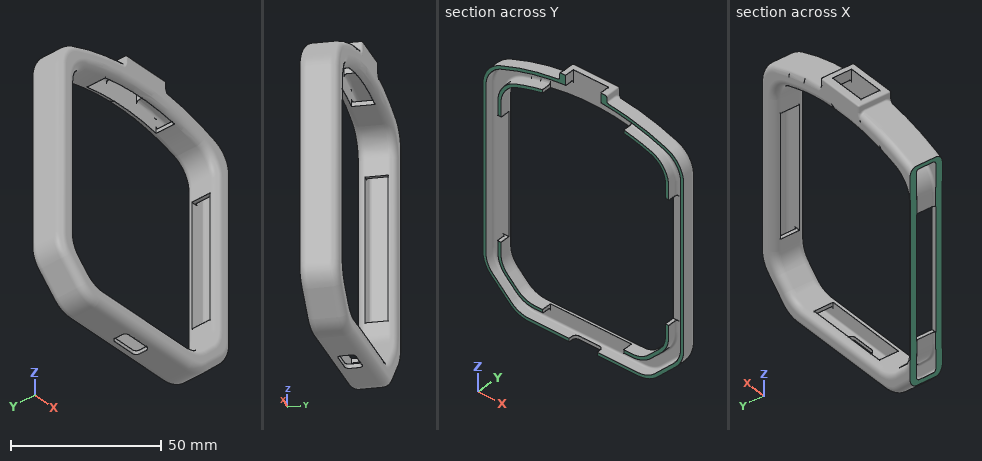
import cadquery as cq
import math

width = 87.2
depth = 14.0
height = 110.2

bar = 8.0
arch_height = 107.8
arch_radius = 95.9
corner_cut = 15.0
outer_corner_radius = 12.0
inner_corner_radius = 10.0
edge_round = 3.0

wall = 1.5
duct_width = depth - 2 * edge_round
duct_round = 1.0
end_mouth_length = 35.0
side_mouth_length = 52.0
side_mouth_bottom = 27.4

tab_width = 20.6
tab_round = 0.8
tab_foot_round = 0.8
socket_width = 15.2

port_width = 12.0
port_depth = duct_width - 2 * duct_round
port_corner_radius = 3.2 / 2


def block(x_size, y_size, z_bottom, z_top):
    """Box centred on X and Y between two heights."""
    return cq.Workplane("XY").workplane(offset=z_bottom).rect(x_size, y_size).extrude(z_top - z_bottom)


def plate(inset, thickness):
    """Ring outline moved inwards by inset, as a plate centred on Y."""
    half = width / 2 - inset
    radius = arch_radius - inset
    arch_top = arch_height - inset
    shoulder = arch_top - radius + math.sqrt(radius**2 - half**2)
    cut = corner_cut - inset * (2 - math.sqrt(2))
    return (
        cq.Workplane("XZ")
        .moveTo(half, shoulder)
        .threePointArc((0, arch_top), (-half, shoulder))
        .lineTo(-half, inset + cut)
        .lineTo(-half + cut, inset)
        .lineTo(half - cut, inset)
        .lineTo(half, inset + cut)
        .close()
        .extrude(thickness / 2, both=True)
    )


def make_rounded_plate():
    outside = plate(0, depth).edges("|Y").fillet(outer_corner_radius)
    return outside.faces("<Y or >Y").edges().fillet(edge_round)


def make_plate_with_tab():
    """Solid rounded plate carrying the tab, before the opening is cut."""
    column = block(tab_width, 2 * depth, -edge_round, height)
    plain = make_rounded_plate()
    crossing = plain.union(column)
    foot_zone = cq.selectors.BoxSelector(
        (-tab_width, -depth + edge_round, -edge_round / 2),
        (tab_width, depth - edge_round, (arch_height + height) / 2),
    )
    crossing = crossing.edges(foot_zone).fillet(tab_foot_round)

    lower = plain.intersect(block(width, depth, 0, height / 2))
    upper = crossing.intersect(block(width, depth, height / 2, height))
    body = lower.union(upper)

    tab_zone = cq.selectors.BoxSelector(
        (-tab_width, -depth, arch_height - edge_round),
        (tab_width, depth, height + edge_round),
    )
    return body.edges(tab_zone).edges("|Z or >Z").fillet(tab_round)


def cut_opening(body):
    opening = plate(bar, depth).edges("|Y").fillet(inner_corner_radius)
    half_bar = bar / 2
    opening_zone = cq.selectors.BoxSelector(
        (-width / 2 + half_bar, -depth, half_bar),
        (width / 2 - half_bar, depth, arch_height - half_bar),
    )
    return body.cut(opening).faces("<Y or >Y").edges(opening_zone).fillet(edge_round)


def make_duct():
    outside = plate(wall, duct_width).edges("|Y").fillet(outer_corner_radius - wall)
    inside = plate(bar - wall, duct_width).edges("|Y").fillet(inner_corner_radius + wall)
    return outside.cut(inside).faces("<Y or >Y").edges().fillet(duct_round)


def make_mouths():
    """Cross-shaped block that opens the inner wall of all four sides."""
    reach = bar / 2
    upright = block(end_mouth_length, duct_width, reach, arch_height - reach)
    side_mouth_top = side_mouth_bottom + side_mouth_length
    sideways = block(width - 2 * reach, duct_width, side_mouth_bottom, side_mouth_top)
    return upright.union(sideways)


def make_socket():
    """Cut from the open middle of the ring up through the top of the tab."""
    return block(socket_width, duct_width, height / 2, height)


def make_port():
    return block(port_width, port_depth, 0, bar).edges("|Z").fillet(port_corner_radius)


body = cut_opening(make_plate_with_tab())
result = body.cut(make_duct()).cut(make_mouths()).cut(make_socket()).cut(make_port())